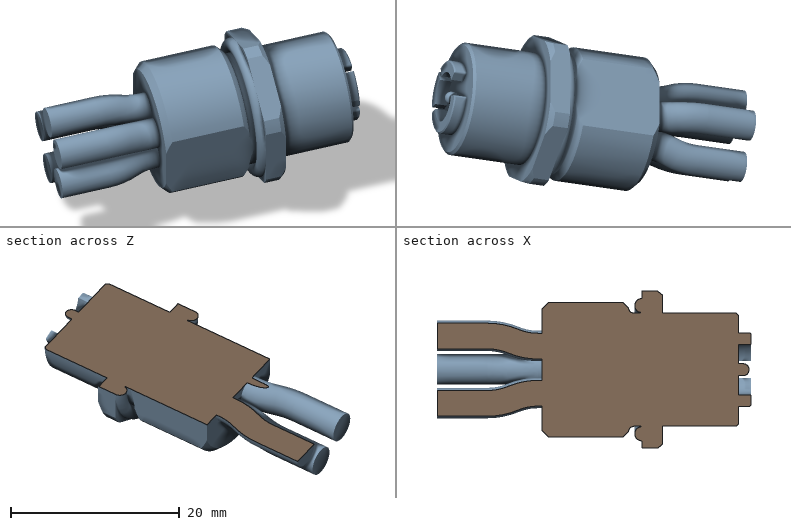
import cadquery as cq
import math

total_length = 37.25

wire_diameter = 3.6
wire_circle_radius = 2.95
wire_shift = 1.2
first_wire_angle = 36
wire_shift_angles = (50, 90, 180, 270, -15)
wire_straight_length = 6.0
wire_bend_length = 5.95

body_back = 12.4
body_front = 22.72
body_diameter = 16.0
back_chamfer = 0.8
front_chamfer = 0.67
flats_width = 13.5

hex_sides = 6
hex_back = 24.3
hex_front = 26.75
ring_diameter = 17.0
hex_width = 17.0
hex_corner_diameter = 18.7
hex_chamfer_length = 0.6
hex_chamfer_depth = 0.5

barrel_front = 35.75
barrel_diameter = flats_width
barrel_chamfer = 0.3

insert_diameter = 8.75
insert_height = total_length - barrel_front
insert_bore = 5.95
insert_flat = 4.15
insert_chamfer = 0.15
keyway_width = 3.2
keyway_rounding = 0.22
slot_width = 0.65
slot_rounding = 0.22
slot_angles = (0, 72)
keyway_angle = 180
pin_diameter = 1.5
pin_shoulder = 36.3


def revolve_about_y(profile):
    """Turn a closed profile of (radius, Y) points about the Y axis."""
    return profile.close().revolve(360, (0, 0, 0), (0, 1, 0))


def cylinder(diameter, back, front):
    """Cylinder on the Y axis between two Y positions."""
    return cq.Workplane("XZ", origin=(0, back, 0)).circle(diameter / 2).extrude(back - front)


def rear_body():
    """Chamfered body with a filleted neck that runs into the flange, cut by two flats."""
    radius = body_diameter / 2
    front_face_radius = radius - front_chamfer
    neck_radius = flats_width / 2
    neck_fillet = front_face_radius - neck_radius
    arc_inset = neck_fillet * (1 - math.sqrt(0.5))
    profile = (
        cq.Workplane("XY")
        .moveTo(0, body_back)
        .lineTo(radius - back_chamfer, body_back)
        .lineTo(radius, body_back + back_chamfer)
        .lineTo(radius, body_front - front_chamfer)
        .lineTo(front_face_radius, body_front)
        .threePointArc(
            (neck_radius + arc_inset, body_front + arc_inset),
            (neck_radius, body_front + neck_fillet),
        )
        .lineTo(neck_radius, hex_back)
        .lineTo(0, hex_back)
    )
    flats = cq.Workplane("XY").box(flats_width, 2 * total_length, body_diameter)
    return revolve_about_y(profile).intersect(flats)


def sealing_ring():
    """Half-round ring filling the step between the neck and the hexagon."""
    outer_radius = ring_diameter / 2
    inner_radius = flats_width / 2
    middle_radius = (outer_radius + inner_radius) / 2
    section_radius = (outer_radius - inner_radius) / 2
    profile = (
        cq.Workplane("XY")
        .moveTo(inner_radius, hex_back)
        .threePointArc((middle_radius, hex_back - section_radius), (outer_radius, hex_back))
    )
    return revolve_about_y(profile)


def hex_flange():
    """Hexagon with corners up and down, turned to a cylinder and chamfered at the front."""
    corner_radius = hex_corner_diameter / 2
    half_side_angle = 180 / hex_sides
    hexagon = (
        cq.Workplane("XZ", origin=(0, hex_back, 0))
        .transformed(rotate=(0, 0, half_side_angle))
        .polygon(hex_sides, hex_width / math.cos(math.radians(half_side_angle)))
        .extrude(hex_back - hex_front)
    )
    turned = (
        cq.Workplane("XY")
        .moveTo(0, hex_back)
        .lineTo(corner_radius, hex_back)
        .lineTo(corner_radius, hex_front - hex_chamfer_length)
        .lineTo(corner_radius - hex_chamfer_depth, hex_front)
        .lineTo(0, hex_front)
    )
    return hexagon.intersect(revolve_about_y(turned))


def front_barrel():
    return cylinder(barrel_diameter, hex_front, barrel_front).faces(">Y").chamfer(barrel_chamfer)


def straight_opening(width, angle):
    """Parallel-sided cutter from the axis outward through the insert wall, at an angle from +X about Y."""
    return (
        cq.Workplane("XY")
        .box(insert_diameter, insert_height, width, centered=(False, False, True))
        .translate((0, barrel_front, 0))
        .rotate((0, 0, 0), (0, 1, 0), -angle)
    )


def wedge_opening(width, angle):
    """Cutter with radial sides, `width` wide at the outside of the insert, at an angle from +X about Y."""
    reach = insert_diameter
    return (
        cq.Workplane("XZ", origin=(0, barrel_front, 0))
        .polyline([(0, 0), (reach, width), (reach, -width)])
        .close()
        .extrude(-insert_height)
        .rotate((0, 0, 0), (0, 1, 0), -angle)
    )


def round_outer_edges(tube, width, rounding, angle):
    """Round the two outer edges of an opening."""
    half_angle = math.degrees(math.asin(width / insert_diameter))
    radius = insert_diameter / 2
    for edge_angle in (angle - half_angle, angle + half_angle):
        turn = math.radians(edge_angle)
        corner = (radius * math.cos(turn), (barrel_front + total_length) / 2, radius * math.sin(turn))
        tube = tube.edges(cq.selectors.NearestToPointSelector(corner)).fillet(rounding)
    return tube


def mating_insert():
    tube = cylinder(insert_diameter, barrel_front, total_length)
    tube = tube.cut(cylinder(insert_bore, barrel_front, total_length))
    beyond_flat = (
        cq.Workplane("XY")
        .box(insert_diameter, insert_height, insert_diameter, centered=(False, False, True))
        .translate((insert_flat, barrel_front, 0))
    )
    tube = tube.cut(beyond_flat)
    for angle in slot_angles:
        tube = tube.cut(straight_opening(slot_width, angle))
        tube = round_outer_edges(tube, slot_width, slot_rounding, angle)
    tube = tube.cut(wedge_opening(keyway_width, keyway_angle))
    tube = round_outer_edges(tube, keyway_width, keyway_rounding, keyway_angle)
    envelope = cylinder(insert_diameter, barrel_front, total_length).faces(">Y").chamfer(insert_chamfer)
    return tube.intersect(envelope)


def domed_pin():
    shaft = cylinder(pin_diameter, barrel_front, pin_shoulder)
    dome = cq.Workplane("XY").sphere(pin_diameter / 2).translate((0, pin_shoulder, 0))
    return shaft.union(dome)


def wire(position_angle, shift_angle):
    """Straight end, S-bend of two equal arcs, and a short straight length into the body."""
    position = math.radians(position_angle)
    shift = math.radians(shift_angle)
    bend_radius = (wire_bend_length**2 + wire_shift**2) / (4 * wire_shift)
    half_bend = math.atan2(wire_shift, wire_bend_length)
    quarter_out = bend_radius * (1 - math.cos(half_bend))
    quarter_along = bend_radius * math.sin(half_bend)
    bend_end = wire_straight_length + wire_bend_length

    def path_point(offset, y):
        return cq.Vector(
            wire_circle_radius * math.cos(position) + offset * math.cos(shift),
            y,
            wire_circle_radius * math.sin(position) + offset * math.sin(shift),
        )

    start = path_point(wire_shift, 0)
    bend_start_point = path_point(wire_shift, wire_straight_length)
    outer_arc_middle = path_point(wire_shift - quarter_out, wire_straight_length + quarter_along)
    bend_middle = path_point(wire_shift / 2, wire_straight_length + wire_bend_length / 2)
    inner_arc_middle = path_point(quarter_out, bend_end - quarter_along)
    bend_end_point = path_point(0, bend_end)
    path = cq.Wire.assembleEdges([
        cq.Edge.makeLine(start, bend_start_point),
        cq.Edge.makeThreePointArc(bend_start_point, outer_arc_middle, bend_middle),
        cq.Edge.makeThreePointArc(bend_middle, inner_arc_middle, bend_end_point),
        cq.Edge.makeLine(bend_end_point, path_point(0, body_front)),
    ])
    section = cq.Workplane("XZ", origin=start.toTuple()).circle(wire_diameter / 2)
    return section.sweep(path)


result = rear_body().union(sealing_ring()).union(hex_flange()).union(front_barrel())
result = result.union(mating_insert()).union(domed_pin())
for index, shift_angle in enumerate(wire_shift_angles):
    position_angle = first_wire_angle + index * 360 / len(wire_shift_angles)
    result = result.union(wire(position_angle, shift_angle))